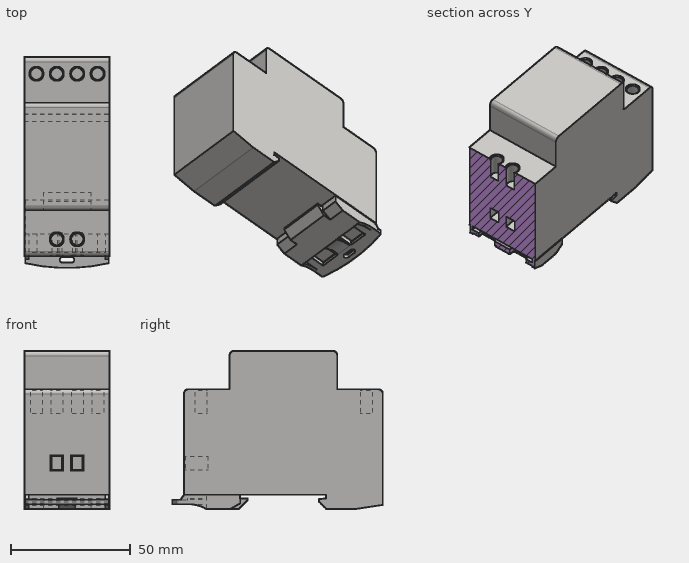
import cadquery as cq
import math


width = 35.5
depth = 83.0
height = 66.0
shoulder_z = 50.0
base_z = 5.9
upper_front_y = 19.0
upper_back_y = 64.0
edge_radius = 2.0

foot_back_z = 1.7
foot_flat_back_y = 71.7
foot_flat_front_y = 59.4
foot_lip_y = 56.3
foot_lip_low_z = foot_flat_front_y - foot_lip_y
foot_lip_top_z = 4.2
foot_notch_y = 59.2
foot_notch_z = 4.5

terminal_pitch = 8.5
screw_rows = ((7.0, 2), (depth - 7.0, 4))
screw_diameter = 5.0
wire_entry_width = 4.3
wire_entry_height = 5.5
wire_entry_z = 19.2
opening_chamfer = 0.5
opening_depth = 10.0

latch_width = 35.0
latch_back_y = 23.5
latch_back_low_z = 2.4
latch_flat_back_y = 19.3
latch_flat_front_y = 9.4
rail_wall = 1.5
rail_ramp_y = -1.4
tongue_bottom_z = 2.0
tongue_top_z = 3.95
tongue_side_y = -3.0
tongue_tip_y = -5.0
tongue_corner_radius = 0.5
underside_arc_end_y = 1.8

hook_width = 20.0
hook_tip_y = 26.6
hook_top_z = 4.5
hook_tip_low_z = 3.65
hook_low_y = hook_tip_y - hook_tip_low_z

recess_width = latch_width - 2 * rail_wall
recess_front_y = 1.5
recess_back_y = latch_flat_front_y
arm_width = 8.3
arm_top_z = 4.6
tab_width = 3.4
tab_top_z = 4.2
rib_width = 7.0

slot_length = 6.0
slot_width = 2.2
slot_y = -1.55


def extrude_across(profile, size):
    """Extrude a closed YZ profile symmetrically about X = 0."""
    return profile.extrude(size / 2, both=True)


def block(size_x, y_range, z_range):
    """Box centred on X = 0."""
    size_y = y_range[1] - y_range[0]
    size_z = z_range[1] - z_range[0]
    box = cq.Workplane("XY").box(size_x, size_y, size_z, centered=(True, False, False))
    return box.translate((0, y_range[0], z_range[0]))


def row_positions(count):
    """X positions of a centred row of terminals."""
    return [(i - (count - 1) / 2) * terminal_pitch for i in range(count)]


def make_housing():
    profile = cq.Workplane("YZ").polyline([
        (0, base_z),
        (0, shoulder_z),
        (upper_front_y, shoulder_z),
        (upper_front_y, height),
        (upper_back_y, height),
        (upper_back_y, shoulder_z),
        (depth, shoulder_z),
        (depth, foot_back_z),
        (foot_flat_back_y, 0),
        (foot_flat_front_y, 0),
        (foot_lip_y, foot_lip_low_z),
        (foot_lip_y, foot_lip_top_z),
        (foot_notch_y, foot_notch_z),
        (foot_notch_y, base_z),
    ]).close()
    housing = extrude_across(profile, width)
    outer_edges = (
        (0, shoulder_z),
        (upper_front_y, height),
        (upper_back_y, height),
        (depth, shoulder_z),
    )
    for y, z in outer_edges:
        housing = housing.edges(cq.selectors.NearestToPointSelector((0, y, z))).fillet(edge_radius)
    return housing


def cut_screw_holes(housing):
    for y, count in screw_rows:
        points = [(x, y) for x in row_positions(count)]
        holes = cq.Workplane("XY", origin=(0, 0, shoulder_z)).pushPoints(points)
        housing = housing.cut(holes.circle(screw_diameter / 2).extrude(-opening_depth))
        for x, hole_y in points:
            countersink = cq.Solid.makeCone(
                screw_diameter / 2 + opening_chamfer,
                screw_diameter / 2,
                opening_chamfer,
                pnt=cq.Vector(x, hole_y, shoulder_z),
                dir=cq.Vector(0, 0, -1),
            )
            housing = housing.cut(cq.Workplane(obj=countersink))
    return housing


def cut_wire_entries(housing):
    mouth_width = wire_entry_width + 2 * opening_chamfer
    mouth_height = wire_entry_height + 2 * opening_chamfer
    for x in row_positions(2):
        face = cq.Workplane("XZ", origin=(x, 0, wire_entry_z))
        channel = face.rect(wire_entry_width, wire_entry_height).extrude(-opening_depth)
        mouth = (
            face.rect(mouth_width, mouth_height)
            .workplane(offset=-opening_chamfer)
            .rect(wire_entry_width, wire_entry_height)
            .loft(ruled=True)
        )
        housing = housing.cut(channel).cut(mouth)
    return housing


def make_latch_body():
    arc_run = latch_flat_front_y - underside_arc_end_y
    arc_radius = (arc_run**2 + tongue_bottom_z**2) / (2 * tongue_bottom_z)
    half_angle = math.asin(arc_run / arc_radius) / 2
    arc_middle = (
        underside_arc_end_y + arc_radius * math.sin(half_angle),
        tongue_bottom_z - arc_radius * (1 - math.cos(half_angle)),
    )
    profile = (
        cq.Workplane("YZ")
        .moveTo(0, base_z)
        .lineTo(latch_back_y, base_z)
        .lineTo(latch_back_y, latch_back_low_z)
        .lineTo(latch_flat_back_y, 0)
        .lineTo(latch_flat_front_y, 0)
        .threePointArc(arc_middle, (underside_arc_end_y, tongue_bottom_z))
        .lineTo(rail_ramp_y, tongue_bottom_z)
        .lineTo(rail_ramp_y, tongue_top_z)
        .close()
    )
    return extrude_across(profile, latch_width)


def make_hook():
    profile = cq.Workplane("YZ").polyline([
        (latch_flat_front_y, 0),
        (hook_low_y, 0),
        (hook_tip_y, hook_tip_low_z),
        (hook_tip_y, hook_top_z),
        (latch_flat_front_y, hook_top_z),
    ]).close()
    return extrude_across(profile, hook_width)


def make_tongue():
    half = latch_width / 2
    outline = (
        cq.Workplane("XY", origin=(0, 0, tongue_bottom_z))
        .moveTo(-half, recess_front_y)
        .lineTo(-half, tongue_side_y)
        .threePointArc((0, tongue_tip_y), (half, tongue_side_y))
        .lineTo(half, recess_front_y)
        .close()
    )
    thickness = tongue_top_z - tongue_bottom_z
    tongue = outline.extrude(thickness)
    for x in (-half, half):
        corner = cq.selectors.NearestToPointSelector((x, tongue_side_y, tongue_bottom_z + thickness / 2))
        tongue = tongue.edges(corner).fillet(tongue_corner_radius)
    slot = (
        cq.Workplane("XY", origin=(0, slot_y, tongue_bottom_z))
        .slot2D(slot_length, slot_width)
        .extrude(thickness)
    )
    return tongue.cut(slot)


def make_latch():
    body = make_latch_body()
    arm = block(arm_width, (recess_front_y, recess_back_y), (tongue_bottom_z, arm_top_z))
    tab = block(tab_width, (recess_front_y, recess_back_y), (tongue_bottom_z, tab_top_z))
    tab_x = (recess_width - tab_width) / 2
    rib_space = block(rib_width, (recess_front_y, recess_back_y), (0, tongue_bottom_z))
    rib = body.intersect(rib_space)
    recess = block(recess_width, (rail_ramp_y, recess_back_y), (0, base_z))
    latch = body.cut(recess).union(make_hook()).union(make_tongue()).union(arm).union(rib)
    for x in (-tab_x, tab_x):
        latch = latch.union(tab.translate((x, 0, 0)))
    return latch


housing = make_housing()
housing = cut_screw_holes(housing)
housing = cut_wire_entries(housing)
result = housing.union(make_latch())